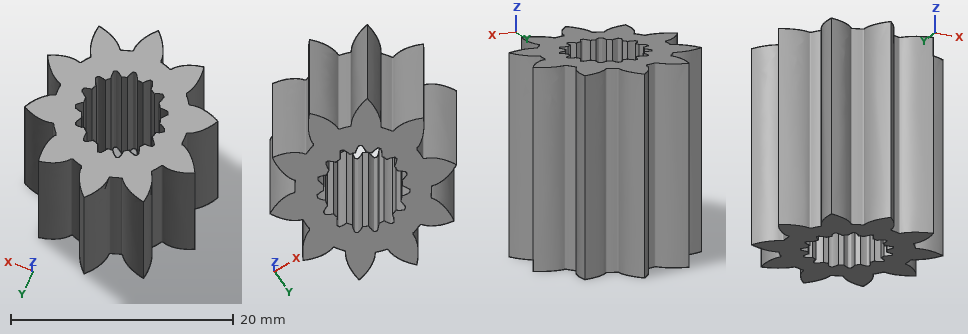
import cadquery as cq
import math

length = 19.05
pinion_teeth = 10
pinion_pitch_radius = 6.35
pinion_pressure_angle = 14.5
pinion_root_radius = 6.15
pinion_tip_radius = 8.72
pinion_root_fillet = 0.15

spline_teeth = 15
spline_pitch_radius = 3.77
spline_pressure_angle = 30.0
bore_radius = 3.56
spline_tip_radius = 4.2
spline_tip_fillet = 0.08

flank_steps = 8
radius_tolerance = 0.002


def involute_angle(radius, base_radius):
    """Polar angle of the involute of the base circle at the given radius."""
    pressure = math.acos(base_radius / radius)
    return math.tan(pressure) - pressure


def polar(radius, angle):
    return (radius * math.cos(angle), radius * math.sin(angle))


def gear_prism(teeth, base_radius, root_radius, tip_radius, tip_half_angle, first_angle):
    """Extruded gear with involute flanks; the first tooth is centred on first_angle."""
    pitch_angle = 2 * math.pi / teeth
    flank = []
    for step in range(flank_steps + 1):
        radius = root_radius + (tip_radius - root_radius) * step / flank_steps
        roll = involute_angle(tip_radius, base_radius) - involute_angle(radius, base_radius)
        flank.append((radius, tip_half_angle + roll))

    root_half_angle = flank[0][1]
    outline = cq.Workplane("XY").moveTo(*polar(root_radius, first_angle - root_half_angle))
    for tooth in range(teeth):
        centre = first_angle + tooth * pitch_angle
        rising = [polar(radius, centre - half) for radius, half in flank]
        falling = [polar(radius, centre + half) for radius, half in reversed(flank)]
        outline = outline.spline(rising[1:], includeCurrent=True)
        if tip_half_angle > 0:
            outline = outline.threePointArc(polar(tip_radius, centre), falling[0])
        outline = outline.spline(falling[1:], includeCurrent=True)
        root_middle = polar(root_radius, centre + pitch_angle / 2)
        next_tooth = polar(root_radius, centre + pitch_angle - root_half_angle)
        outline = outline.threePointArc(root_middle, next_tooth)
    return outline.close().extrude(length)


def round_edges_at_radius(body, radius, fillet):
    """Fillet the lengthwise edges lying at the given distance from the axis."""
    def at_radius(edge):
        centre = edge.Center()
        return abs(math.hypot(centre.x, centre.y) - radius) < radius_tolerance

    return body.newObject(body.edges("|Z").filter(at_radius).vals()).fillet(fillet)


def make_pinion():
    base_radius = pinion_pitch_radius * math.cos(math.radians(pinion_pressure_angle))
    body = gear_prism(
        pinion_teeth, base_radius, pinion_root_radius, pinion_tip_radius, 0, math.pi / 2
    )
    return round_edges_at_radius(body, pinion_root_radius, pinion_root_fillet)


def make_spline_void():
    base_radius = spline_pitch_radius * math.cos(math.radians(spline_pressure_angle))
    pitch_half_angle = math.pi / (2 * spline_teeth)
    pitch_roll = involute_angle(spline_pitch_radius, base_radius)
    tip_roll = involute_angle(spline_tip_radius, base_radius)
    tip_half_angle = pitch_half_angle + pitch_roll - tip_roll
    void = gear_prism(
        spline_teeth, base_radius, bore_radius, spline_tip_radius, tip_half_angle, math.pi
    )
    return round_edges_at_radius(void, spline_tip_radius, spline_tip_fillet)


result = make_pinion().cut(make_spline_void())